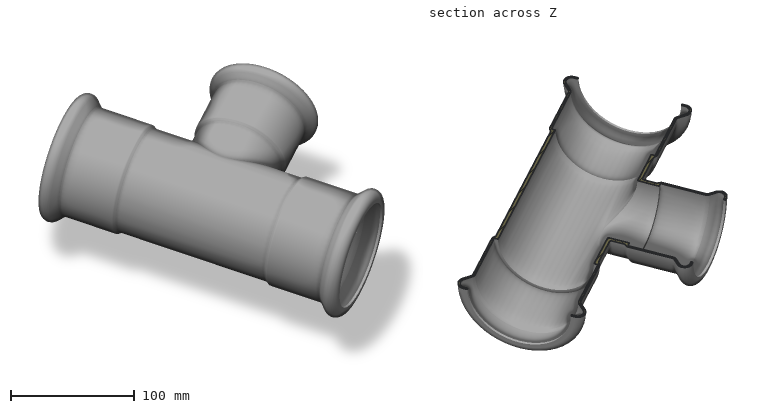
import cadquery as cq

RUN_LENGTH = 262.0
OVERALL_WIDTH = 170.8

RUN_TUBE_DIAMETER = 88.8
RUN_SOCKET_DIAMETER = 93.0
RUN_BEAD_DIAMETER = 109.5
RUN_SOCKET_DEPTH = 66.5

BRANCH_TUBE_DIAMETER = 76.0
BRANCH_SOCKET_DIAMETER = 80.2
BRANCH_BEAD_DIAMETER = 94.3
BRANCH_SOCKET_DEPTH = 59.2
BRANCH_REACH = OVERALL_WIDTH - RUN_BEAD_DIAMETER / 2

TUBE_WALL = 3.1
SOCKET_WALL = 1.96
BEAD_RADIUS = 6.5
STEP_LENGTH = 3.1
BEND_RADIUS = 2.0
JUNCTION_FILLET = 1.3

SIN_45 = 0.5**0.5


def revolve_profile(profile):
    return profile.close().revolve(360, (0, 0, 0), (0, 1, 0))


def round_rings(body, heights, radius):
    """Round the circular edges of a Z-axis body that lie at the given heights."""
    margin = 0.13
    for height in heights:
        ring = cq.selectors.BoxSelector((-margin, -margin, height - margin), (margin, margin, height + margin))
        body = body.edges(ring).fillet(radius)
    return body


def end_shell(length, tube, socket, bead, socket_depth):
    """Outside along +Z: bead at z = 0, 45 degree cone, socket, then tube up to z = length."""
    bead_center = bead / 2 - BEAD_RADIUS
    cone_radius = bead_center + BEAD_RADIUS * SIN_45
    cone_start = BEAD_RADIUS * (1 + SIN_45)
    cone_end = cone_start + cone_radius - socket / 2
    step_start = socket_depth - STEP_LENGTH
    body = revolve_profile(
        cq.Workplane("XZ")
        .lineTo(bead_center, 0)
        .threePointArc((bead / 2, BEAD_RADIUS), (cone_radius, cone_start))
        .lineTo(socket / 2, cone_end)
        .lineTo(socket / 2, step_start)
        .lineTo(tube / 2, socket_depth)
        .lineTo(tube / 2, length)
        .lineTo(0, length)
    )
    return round_rings(body, (cone_end, step_start, socket_depth), BEND_RADIUS)


def end_opening(length, tube, socket, bead, socket_depth):
    """Hollow along +Z: lip, seal groove inside the bead, socket with a flat pipe stop, and tube bore."""
    bore_radius = tube / 2 - TUBE_WALL
    stop_depth = socket_depth - TUBE_WALL
    socket_radius = socket / 2 - SOCKET_WALL
    groove_radius = BEAD_RADIUS - SOCKET_WALL
    bead_center = bead / 2 - BEAD_RADIUS
    cone_radius = bead_center + groove_radius * SIN_45
    cone_start = BEAD_RADIUS + groove_radius * SIN_45
    cone_end = cone_start + cone_radius - socket_radius
    body = revolve_profile(
        cq.Workplane("XZ")
        .lineTo(socket_radius, 0)
        .lineTo(socket_radius, SOCKET_WALL)
        .lineTo(bead_center, SOCKET_WALL)
        .threePointArc((bead_center + groove_radius, BEAD_RADIUS), (cone_radius, cone_start))
        .lineTo(socket_radius, cone_end)
        .lineTo(socket_radius, stop_depth)
        .lineTo(bore_radius, stop_depth)
        .lineTo(bore_radius, length)
        .lineTo(0, length)
    )
    return round_rings(body, (cone_end,), BEND_RADIUS + SOCKET_WALL)


def on_run(half):
    """Lay a body along +Z into the -X half of the run and mirror it to the +X half."""
    half = half.rotate((0, 0, 0), (0, 1, 0), 90).translate((-RUN_LENGTH / 2, 0, 0))
    return half.union(half.mirror("YZ"))


def on_branch(body):
    """Lay a body along +Z so that it starts at the +Y end of the branch."""
    return body.rotate((0, 0, 0), (1, 0, 0), 90).translate((0, BRANCH_REACH, 0))


run_sizes = (
    RUN_LENGTH / 2, RUN_TUBE_DIAMETER, RUN_SOCKET_DIAMETER, RUN_BEAD_DIAMETER, RUN_SOCKET_DEPTH,
)
branch_sizes = (
    BRANCH_REACH, BRANCH_TUBE_DIAMETER, BRANCH_SOCKET_DIAMETER, BRANCH_BEAD_DIAMETER, BRANCH_SOCKET_DEPTH,
)

outside = on_run(end_shell(*run_sizes)).union(on_branch(end_shell(*branch_sizes)))
saddle_zone = cq.selectors.BoxSelector(
    (-BRANCH_TUBE_DIAMETER / 2, 0, -RUN_TUBE_DIAMETER / 2),
    (BRANCH_TUBE_DIAMETER / 2, RUN_TUBE_DIAMETER / 2, RUN_TUBE_DIAMETER / 2),
)
outside = outside.edges("not(%LINE or %CIRCLE)").edges(saddle_zone).fillet(JUNCTION_FILLET)

result = outside.cut(on_run(end_opening(*run_sizes))).cut(on_branch(end_opening(*branch_sizes)))